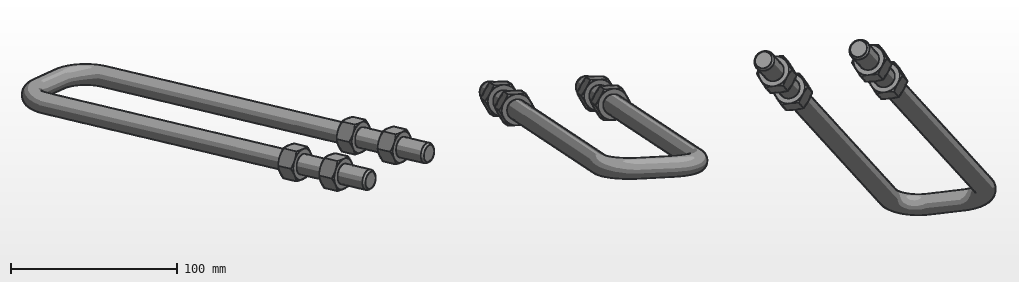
import cadquery as cq
import math

total_length = 266.4
rod_diameter = 12.8
leg_spacing = 60.2
bend_radius = 19.0
thread_length = 95.4
tip_diameter = 10.7
tip_length = 1.5

nut_across_flats = 19.2
nut_thickness = 11.2
nut_pitch = 30.4
nut_end_gap = 20.0
hex_half_angle = 30.0
nut_chamfer_angle = 30.0

rod_radius = rod_diameter / 2
tip_radius = tip_diameter / 2
thread_start_x = total_length - thread_length
leg_y = leg_spacing / 2
crown_x = rod_radius
bend_end_x = crown_x + bend_radius
bend_end_y = leg_y - bend_radius
nut_corner_radius = nut_across_flats / 2 / math.cos(math.radians(hex_half_angle))
outer_nut_x = total_length - nut_end_gap - nut_thickness
nut_starts = [outer_nut_x - nut_pitch, outer_nut_x]


def make_threaded_end(y):
    """Threaded end of one leg, plain at full rod diameter, with a chamfered tip."""
    return (
        cq.Workplane("XY")
        .polyline([
            (thread_start_x, 0),
            (thread_start_x, rod_radius),
            (total_length - tip_length, rod_radius),
            (total_length, tip_radius),
            (total_length, 0),
        ])
        .close()
        .revolve(360, (0, 0, 0), (1, 0, 0))
        .translate((0, y, 0))
    )


def make_u_bolt():
    """Round rod bent into a U, with a threaded end on each leg."""
    mid_bend = bend_radius * math.sin(math.radians(45))
    path = (
        cq.Workplane("XY")
        .moveTo(thread_start_x, leg_y)
        .lineTo(bend_end_x, leg_y)
        .threePointArc((bend_end_x - mid_bend, bend_end_y + mid_bend), (crown_x, bend_end_y))
        .lineTo(crown_x, -bend_end_y)
        .threePointArc((bend_end_x - mid_bend, -bend_end_y - mid_bend), (bend_end_x, -leg_y))
        .lineTo(thread_start_x, -leg_y)
    )
    rod = (
        cq.Workplane("YZ", origin=(thread_start_x, leg_y, 0))
        .circle(rod_radius)
        .sweep(path)
    )
    for y in (leg_y, -leg_y):
        rod = rod.union(make_threaded_end(y), clean=False)
    return rod


def make_nut(x, y):
    """Hexagon nut starting at x on the leg at y, its corners pointing along Y."""
    blank = (
        cq.Workplane("YZ")
        .polygon(6, 2 * nut_corner_radius)
        .circle(rod_radius)
        .extrude(nut_thickness)
    )
    face_radius = nut_across_flats / 2
    chamfer_depth = (nut_corner_radius - face_radius) * math.tan(math.radians(nut_chamfer_angle))
    envelope = (
        cq.Workplane("XY")
        .polyline([
            (0, 0),
            (0, face_radius),
            (chamfer_depth, nut_corner_radius),
            (nut_thickness - chamfer_depth, nut_corner_radius),
            (nut_thickness, face_radius),
            (nut_thickness, 0),
        ])
        .close()
        .revolve(360, (0, 0, 0), (1, 0, 0))
    )
    return blank.intersect(envelope).translate((x, y, 0))


u_bolt = make_u_bolt()
nuts = [make_nut(x, y) for y in (leg_y, -leg_y) for x in nut_starts]

result = cq.Compound.makeCompound([u_bolt.val(), *[nut.val() for nut in nuts]])